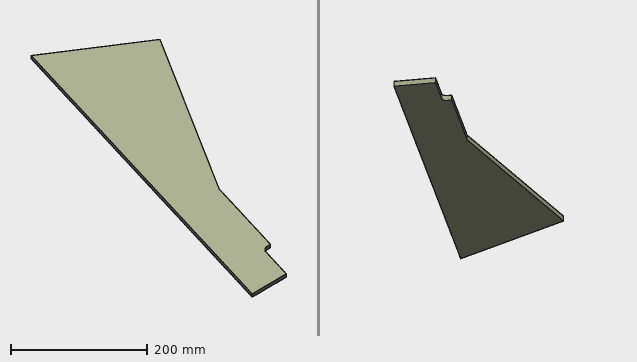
import cadquery as cq

length = 546.0
height = 170.0
thickness = 8.0

peak_x = 88.5
taper_end_x = 362.0
neck_height = 76.0
step_x = 488.5
tongue_height = 62.0
step_radius = 6.5

plate = (
    cq.Workplane("XY")
    .moveTo(0, 0)
    .lineTo(length, 0)
    .lineTo(length, tongue_height)
    .lineTo(step_x, tongue_height)
    .lineTo(step_x, neck_height)
    .lineTo(taper_end_x, neck_height)
    .lineTo(peak_x, height)
    .close()
    .extrude(thickness)
)

step_corner = cq.selectors.NearestToPointSelector((step_x, tongue_height, thickness / 2))
result = plate.edges("|Z").edges(step_corner).fillet(step_radius)